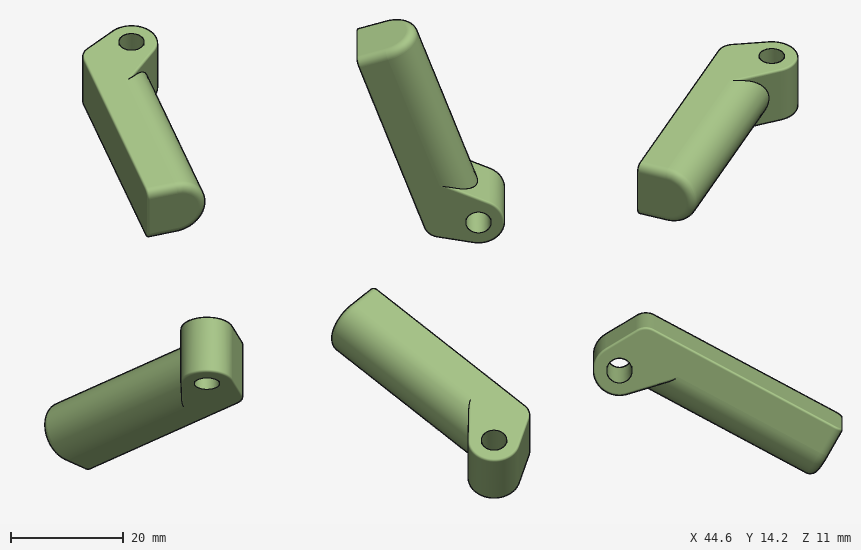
import cadquery as cq
import math

thickness = 11.0
bar_end_x = 40.0
front_y = -9.5
head_radius = 4.65
hole_diameter = 4.5
corner_radius = 3.0
corner_x = 1.75
back_slope = 46.3
edge_radius = 0.4
end_radius = 1.5

half_thickness = thickness / 2
bar_back_y = front_y + thickness
bar_middle_y = front_y + half_thickness
bar_start_x = head_radius - edge_radius


def point_on_circle(center, radius, angle):
    """Point on a circle at an angle in radians."""
    return (center[0] + radius * math.cos(angle), center[1] + radius * math.sin(angle))


def make_head():
    """Plate around the hole, running down to the front face, with rounded rims."""
    axis = (0.0, 0.0)
    corner_axis = (corner_x, front_y + corner_radius)

    axis_distance = math.hypot(*corner_axis)
    axis_direction = math.atan2(corner_axis[1], corner_axis[0])
    slant_normal = axis_direction - math.acos((head_radius - corner_radius) / axis_distance)
    slant_top = point_on_circle(axis, head_radius, slant_normal)
    slant_bottom = point_on_circle(corner_axis, corner_radius, slant_normal)
    front_normal = -math.pi / 2
    corner_middle = point_on_circle(corner_axis, corner_radius, (slant_normal + front_normal) / 2)

    back_normal = math.radians(90 - back_slope)
    back_top = point_on_circle(axis, head_radius, back_normal)
    back_run = (back_top[1] - front_y) / math.tan(math.radians(back_slope))
    back_bottom = (back_top[0] + back_run, front_y)
    head_middle = point_on_circle(axis, head_radius, (slant_normal + 2 * math.pi + back_normal) / 2)

    return (
        cq.Workplane("XY", origin=(0, 0, -half_thickness))
        .moveTo(*back_top)
        .threePointArc(head_middle, slant_top)
        .lineTo(*slant_bottom)
        .threePointArc(corner_middle, (corner_x, front_y))
        .lineTo(*back_bottom)
        .close()
        .extrude(thickness)
        .faces("|Z")
        .edges()
        .fillet(edge_radius)
    )


def make_bar():
    """D-section bar: flat front, half-round back and a rounded far end."""
    bar = (
        cq.Workplane("YZ", origin=(bar_start_x, 0, 0))
        .moveTo(bar_middle_y, half_thickness)
        .lineTo(front_y, half_thickness)
        .lineTo(front_y, -half_thickness)
        .lineTo(bar_middle_y, -half_thickness)
        .threePointArc((bar_back_y, 0), (bar_middle_y, half_thickness))
        .close()
        .extrude(bar_end_x - bar_start_x)
    )
    front_end_edge = cq.selectors.NearestToPointSelector((bar_end_x, front_y, 0))
    end_edges = bar.faces(">X").edges()
    bar = end_edges.edges(cq.selectors.InverseSelector(front_end_edge)).fillet(end_radius)
    return bar.faces("<Y").edges("not <X").fillet(edge_radius)


def make_hole():
    """Through hole along the Z axis."""
    return cq.Workplane("XY").circle(hole_diameter / 2).extrude(half_thickness, both=True)


result = make_head().union(make_bar()).cut(make_hole())